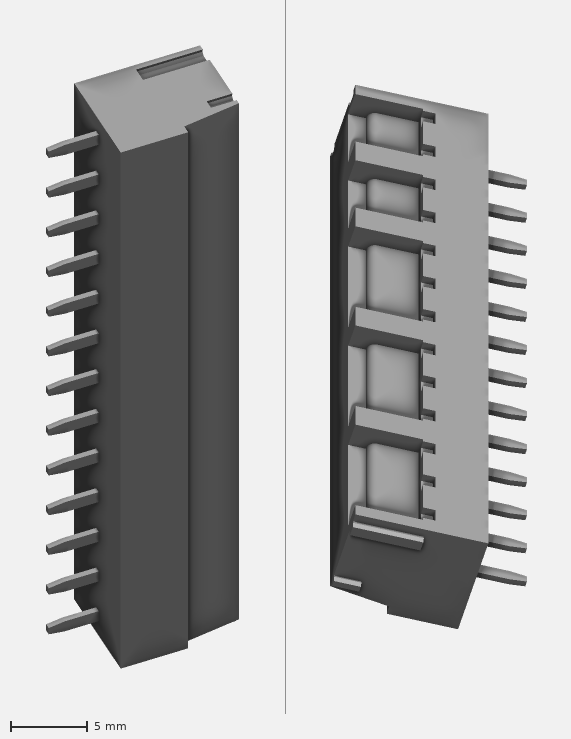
import cadquery as cq
import math

pole_count = 13
pitch = 3.5
height = pole_count * pitch

width = 7.4
half_width = width / 2
depth = 9.03
shoulder_y = 4.85
shoulder_x = 3.1
top_corner_x = 2.5

pin_width = 0.4
pin_height = 0.87
pin_tip_height = 0.55
pin_length = 3.6
pin_taper = 1.15

rib_boundaries = [0, 2, 4, 7, 10, 13]
rib_height = 2.0
bay_length = 4.6
bay_floor = 1.15
bay_round = 0.6
deep_length = 1.2

notch_length = 0.85
notch_height = 1.1
notch_depth = 0.55

wide_rail_x = -2.7
wide_rail_length = 4.8
small_rail_x = 1.8
small_rail_length = 1.85

tongue_height = 0.55
groove_depth = 0.45
wide_tongue_widths = (0.8, 0.95, 0.7)
wide_groove_widths = (1.1, 1.2, 0.87)
small_tongue_widths = (0.45, 0.7, 0.4)
small_groove_widths = (0.7, 0.8, 0.45)


def pole_z(index):
    """Height of the middle of a pole, counted from the lower end."""
    return (index + 0.5) * pitch


def make_housing():
    outline = [
        (-half_width, 0),
        (half_width, 0),
        (half_width, shoulder_y),
        (shoulder_x, shoulder_y),
        (top_corner_x, depth),
        (-half_width, depth),
    ]
    return cq.Workplane("XY").polyline(outline).close().extrude(height)


def make_bay(low, high):
    """Side bay whose shallow floor rolls over into a deeper floor at the +Y face."""
    floor_x = -half_width + bay_floor
    deep_x = floor_x + bay_round
    closed_y = depth - bay_length
    deep_y = depth - deep_length
    arc_start_y = deep_y - bay_round
    diagonal = bay_round * math.sqrt(0.5)
    arc_middle = (deep_x - diagonal, arc_start_y + diagonal)
    return (
        cq.Workplane("XY")
        .workplane(offset=low)
        .moveTo(-half_width, closed_y)
        .lineTo(floor_x, closed_y)
        .lineTo(floor_x, arc_start_y)
        .threePointArc(arc_middle, (deep_x, deep_y))
        .lineTo(deep_x, depth)
        .lineTo(-half_width, depth)
        .close()
        .extrude(high - low)
    )


def make_notch(z):
    """Shallow notch in the -X face that opens into the closed end of a bay."""
    notch = cq.Workplane("XY").box(notch_depth, notch_length, notch_height, centered=(False, False, True))
    return notch.translate((-half_width, depth - bay_length - notch_length, z))


def make_pin(z):
    """Flat pin, tapered in height towards its free end."""
    shank_y = pin_taper - pin_length
    half = pin_height / 2
    tip_half = pin_tip_height / 2
    outline = [
        (0, -half),
        (shank_y, -half),
        (-pin_length, -tip_half),
        (-pin_length, tip_half),
        (shank_y, half),
        (0, half),
    ]
    profile = cq.Workplane("YZ").polyline(outline).close()
    return profile.extrude(pin_width / 2, both=True).translate((0, 0, z))


def make_rail(x, z, widths, rail_length, rail_height):
    """Rail hanging down from height z, ending flush with the +Y face."""
    neck, middle, tip = (size / 2 for size in widths)
    outline = [
        (-neck, 0),
        (-middle, -rail_height / 2),
        (-tip, -rail_height),
        (tip, -rail_height),
        (middle, -rail_height / 2),
        (neck, 0),
    ]
    profile = cq.Workplane("XZ").polyline(outline).close()
    return profile.extrude(rail_length).translate((x, depth, z))


result = make_housing()

for upper, lower in zip(rib_boundaries, rib_boundaries[1:]):
    bay_low = height - lower * pitch + rib_height / 2
    bay_high = height - upper * pitch - rib_height / 2
    result = result.cut(make_bay(bay_low, bay_high))

for pole in range(pole_count):
    result = result.cut(make_notch(pole_z(pole)))
    result = result.union(make_pin(pole_z(pole)))

for x, rail_length, tongue_widths, groove_widths in (
    (wide_rail_x, wide_rail_length, wide_tongue_widths, wide_groove_widths),
    (small_rail_x, small_rail_length, small_tongue_widths, small_groove_widths),
):
    result = result.union(make_rail(x, 0, tongue_widths, rail_length, tongue_height))
    result = result.cut(make_rail(x, height, groove_widths, rail_length, groove_depth))